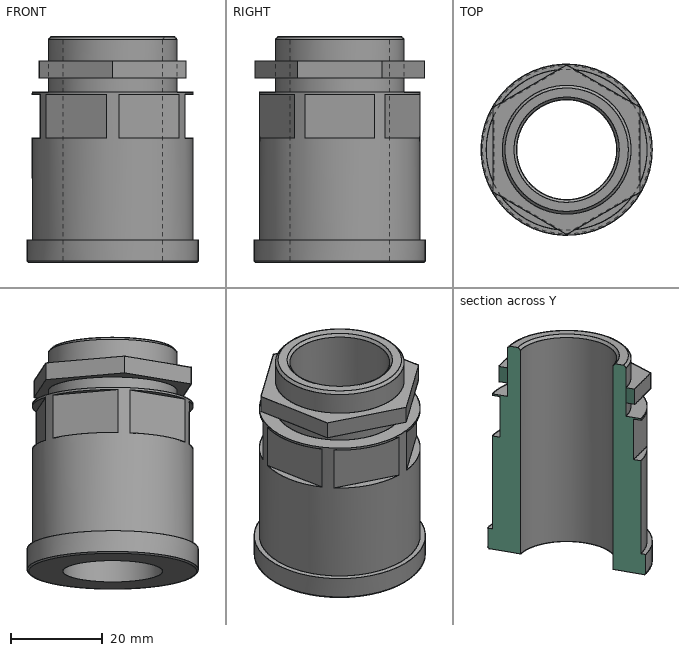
import cadquery as cq
import math

total_height = 49.2
flange_diameter = 37.3
barrel_diameter = 35.05
neck_diameter = 28.05
bore_diameter = 21.75

flange_top = 4.95
flats_bottom = 27.1
flats_top = 36.65
barrel_top = 37.15
nut_bottom = 40.2

side_count = 6
flats_across = 31.6
nut_across_flats = 32.0
nut_height = 3.75

neck_chamfer = 0.6
bore_chamfer = 0.6
flange_chamfer = 0.35


def cylinder(diameter, bottom, top):
    return cq.Workplane("XY").workplane(offset=bottom).circle(diameter / 2).extrude(top - bottom)


def hexagon(across_flats, bottom, top):
    """Hexagonal prism with two corners on the Y axis and two sides facing along X."""
    corner_diameter = across_flats / math.cos(math.pi / side_count)
    prism = cq.Workplane("XY").workplane(offset=bottom).polygon(side_count, corner_diameter)
    return prism.extrude(top - bottom).rotate((0, 0, 0), (0, 0, 1), 180 / side_count)


def make_sleeve():
    """Flanged tubular body with six wrench flats and a reduced upper neck."""
    flange = cylinder(flange_diameter, 0, flange_top).faces("<Z").edges().chamfer(flange_chamfer)
    barrel = cylinder(barrel_diameter, flange_top, barrel_top)
    neck = cylinder(neck_diameter, barrel_top, total_height).faces(">Z").edges().chamfer(neck_chamfer)

    flats_blank = cylinder(flange_diameter, flats_bottom, flats_top)
    flats_cutter = flats_blank.cut(hexagon(flats_across, flats_bottom, flats_top))
    barrel = barrel.cut(flats_cutter)

    sleeve = flange.union(barrel).union(neck)
    sleeve = sleeve.cut(cylinder(bore_diameter, 0, total_height))

    mouth_edge = sleeve.faces(">Z").edges(cq.selectors.RadiusNthSelector(0))
    return mouth_edge.chamfer(bore_chamfer)


def make_lock_nut():
    """Plain hexagonal nut fitting closely around the neck."""
    nut_top = nut_bottom + nut_height
    nut = hexagon(nut_across_flats, nut_bottom, nut_top)
    return nut.cut(cylinder(neck_diameter, nut_bottom, nut_top))


sleeve = make_sleeve()
lock_nut = make_lock_nut()

result = cq.Compound.makeCompound([sleeve.solids().val(), lock_nut.solids().val()])